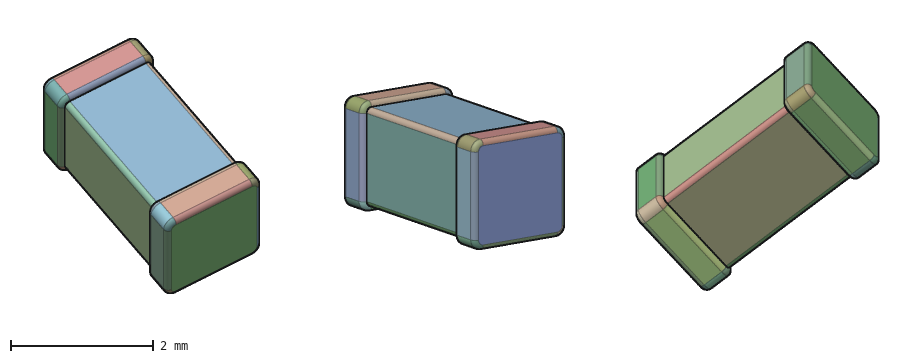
import cadquery as cq

length = 3.2
width = 1.6
height = 1.6

terminal_length = 0.48
terminal_step = 0.08
edge_radius = terminal_step
body_corner_radius = 0.08
terminal_corner_radius = body_corner_radius + terminal_step

body_length = length - 2 * terminal_length
body_width = width - 2 * terminal_step
body_height = height - 2 * terminal_step


def make_ceramic_body():
    """Plain bar along X with rounded long edges, butting against both terminals."""
    return (
        cq.Workplane("XY")
        .box(body_length, body_width, body_height)
        .edges("|X")
        .fillet(body_corner_radius)
    )


def make_terminal(center_x):
    """Rounded block with both rims filleted; its flat inner face matches the body section."""
    return (
        cq.Workplane("XY")
        .box(terminal_length, width, height)
        .edges("|X")
        .fillet(terminal_corner_radius)
        .faces("<X or >X")
        .edges()
        .fillet(edge_radius)
        .translate((center_x, 0, 0))
    )


terminal_center_x = (length - terminal_length) / 2

ceramic_body = make_ceramic_body()
terminals = [make_terminal(side * terminal_center_x) for side in (-1, 1)]

result = cq.Compound.makeCompound(
    [ceramic_body.val(), *[terminal.val() for terminal in terminals]]
)